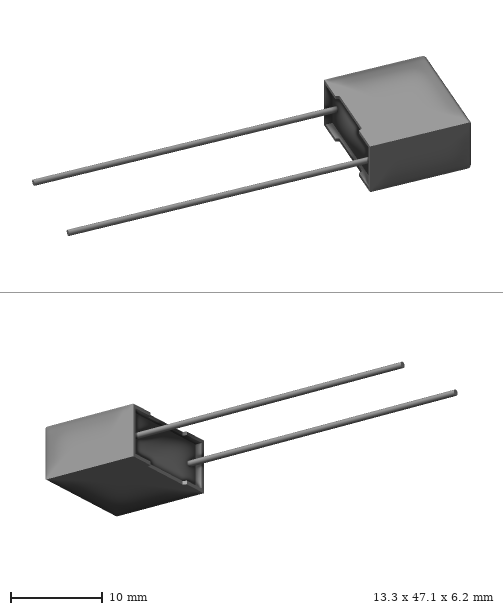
import cadquery as cq

total_length = 47.1
case_width = 13.3
case_height = 6.2
case_length = 12.05
wall = 0.42
back_edge_radius = 0.45

resin_recess = 0.8

notch_mouth_width = 6.85
notch_floor_width = 6.5
notch_depth = 0.42

lead_pitch = 10.0
lead_diameter = 0.7
lead_tip_y = case_length - total_length

cavity_width = case_width - 2 * wall
cavity_height = case_height - 2 * wall
cavity_depth = case_length - wall


def box_along_y(width, height, y_start, y_end):
    """Box centred on the Y axis, spanning y_start to y_end."""
    return cq.Workplane("XY").box(width, y_end - y_start, height, centered=(True, False, True)).translate(
        (0, y_start, 0)
    )


def make_notch_cutter():
    """Trapezoidal prism that passes through both broad walls."""
    return (
        cq.Workplane("XY")
        .moveTo(-notch_mouth_width / 2, 0)
        .lineTo(-notch_floor_width / 2, notch_depth)
        .lineTo(notch_floor_width / 2, notch_depth)
        .lineTo(notch_mouth_width / 2, 0)
        .close()
        .extrude(case_height / 2, both=True)
    )


def make_case():
    """Open-mouthed box with rounded back edges and mouth notches."""
    shell = box_along_y(case_width, case_height, 0, case_length)
    shell = shell.faces(">Y").edges().fillet(back_edge_radius)
    cavity = box_along_y(cavity_width, cavity_height, 0, cavity_depth)
    return shell.cut(cavity).cut(make_notch_cutter())


def make_resin():
    """Solid filling of the case cavity behind the recess."""
    return box_along_y(cavity_width, cavity_height, resin_recess, cavity_depth)


def make_lead(x):
    """Straight round wire from the resin face to its free tip."""
    return (
        cq.Workplane("XZ", origin=(x, resin_recess, 0))
        .circle(lead_diameter / 2)
        .extrude(resin_recess - lead_tip_y)
    )


case = make_case()
resin = make_resin()
leads = [make_lead(side * lead_pitch / 2) for side in (-1, 1)]

result = cq.Compound.makeCompound([case.val(), resin.val(), *[lead.val() for lead in leads]])